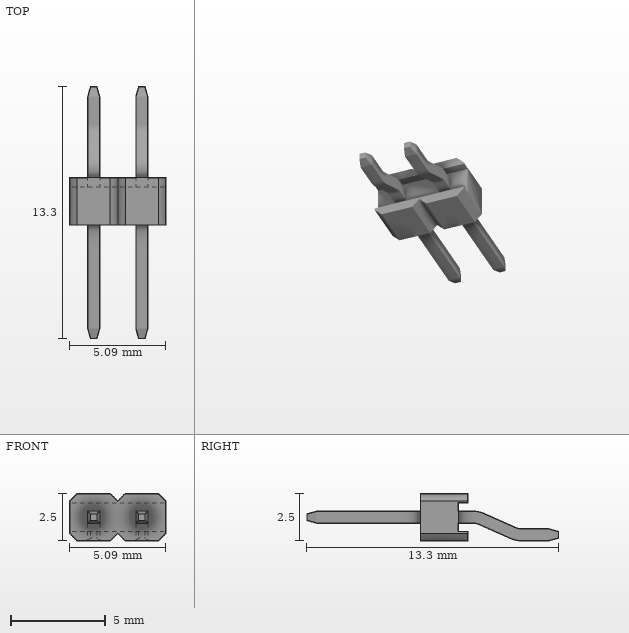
import cadquery as cq
import math


pitch = 2.54
pin_count = 2
body_width = 5.09
body_depth = 2.5
body_height = 2.5
corner_cut = 0.4
slot_depth = 0.5
slot_height = 1.5

pin_size = 0.64
tip_size = 0.34
tip_length = 0.53
front_reach = 6.0
rear_reach = 4.8

bend_angle = math.radians(24)
bend_radius = 1.0
bend_start_gap = 0.3
bend_drop = (body_height - pin_size) / 2

front_face_y = -body_depth / 2
rear_face_y = body_depth / 2
pin_positions = [(i - (pin_count - 1) / 2) * pitch for i in range(pin_count)]


def make_body():
    """Block with cut corners, V grooves between pins and a slot across the rear."""
    body = cq.Workplane("XY").box(body_width, body_depth, body_height)
    body = body.edges("|Y").chamfer(corner_cut)

    for left_pin_x in pin_positions[:-1]:
        groove_x = left_pin_x + pitch / 2
        for side in (1, -1):
            surface_z = side * body_height / 2
            groove = (
                cq.Workplane("XZ", origin=(groove_x, 0, surface_z))
                .polyline([(-corner_cut, 0), (0, -side * corner_cut), (corner_cut, 0)])
                .close()
                .extrude(body_depth / 2, both=True)
            )
            body = body.cut(groove)

    slot = cq.Workplane("XY", origin=(0, rear_face_y, 0)).box(body_width, 2 * slot_depth, slot_height)
    return body.cut(slot)


def make_tip(pin_x, base_y, base_z, direction):
    """Tapered pin end starting at base_y and pointing along direction (+1 or -1) in Y."""
    base_plane = cq.Plane(origin=(pin_x, base_y, base_z), xDir=(1, 0, 0), normal=(0, direction, 0))
    return (
        cq.Workplane(base_plane)
        .rect(pin_size, pin_size)
        .workplane(offset=tip_length)
        .rect(tip_size, tip_size)
        .loft(combine=True)
    )


def make_pin(pin_x):
    """Square wire with a tapered tip at each end and a double bend behind the body."""
    front_y = front_face_y - front_reach + tip_length
    rear_y = rear_face_y + rear_reach - tip_length

    arc_run = bend_radius * math.sin(bend_angle)
    arc_drop = bend_radius * (1 - math.cos(bend_angle))
    half_run = bend_radius * math.sin(bend_angle / 2)
    half_drop = bend_radius * (1 - math.cos(bend_angle / 2))
    bend_start_y = rear_face_y + bend_start_gap
    slope_run = (bend_drop - 2 * arc_drop) / math.tan(bend_angle)
    bend_end_y = bend_start_y + 2 * arc_run + slope_run

    centre_line = (
        cq.Workplane("YZ", origin=(pin_x, 0, 0))
        .moveTo(front_y, 0)
        .lineTo(bend_start_y, 0)
        .threePointArc((bend_start_y + half_run, -half_drop), (bend_start_y + arc_run, -arc_drop))
        .lineTo(bend_end_y - arc_run, arc_drop - bend_drop)
        .threePointArc((bend_end_y - half_run, half_drop - bend_drop), (bend_end_y, -bend_drop))
        .lineTo(rear_y, -bend_drop)
    )
    wire = cq.Workplane("XZ", origin=(pin_x, front_y, 0)).rect(pin_size, pin_size).sweep(centre_line)
    front_tip = make_tip(pin_x, front_y, 0, -1)
    rear_tip = make_tip(pin_x, rear_y, -bend_drop, 1)
    return wire.union(front_tip).union(rear_tip)


result = make_body()
for x in pin_positions:
    result = result.union(make_pin(x))